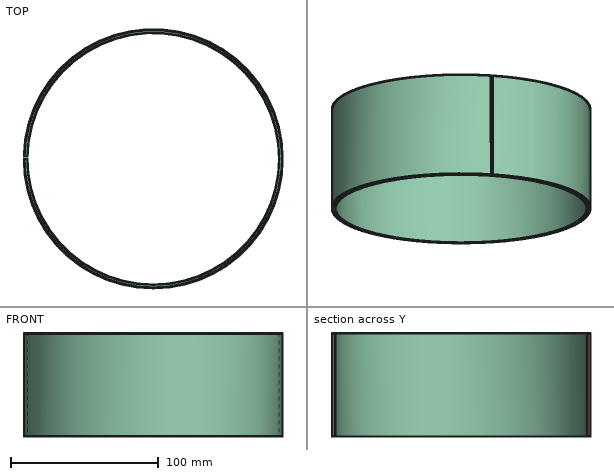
import cadquery as cq

outer_diameter = 175.0
wall_thickness = 2.5
height = 70.0
outer_chamfer = 0.5
inner_chamfer = 0.2
slit_width = 1.5

outer_radius = outer_diameter / 2
inner_radius = outer_radius - wall_thickness


def chamfered_cylinder(radius, chamfer):
    """Solid cylinder on Z = 0 with both rims chamfered inward."""
    cylinder = cq.Workplane("XY").circle(radius).extrude(height)
    return cylinder.faces("<Z or >Z").edges().chamfer(chamfer)


def flared_bore(radius, chamfer):
    """Cutter for the bore: a through cylinder that widens by the chamfer at both ends."""
    profile = (
        cq.Workplane("XZ")
        .moveTo(0, 0)
        .lineTo(radius + chamfer, 0)
        .lineTo(radius, chamfer)
        .lineTo(radius, height - chamfer)
        .lineTo(radius + chamfer, height)
        .lineTo(0, height)
        .close()
    )
    return profile.revolve(axisStart=(0, 0, 0), axisEnd=(0, 1, 0))


def slit_cutter():
    """Full-height block through the -X wall, with one side on the plane Y = 0."""
    block = cq.Workplane("XY").box(outer_radius, slit_width, height, centered=False)
    return block.translate((-outer_radius, 0, 0))


ring = chamfered_cylinder(outer_radius, outer_chamfer).cut(flared_bore(inner_radius, inner_chamfer))
result = ring.cut(slit_cutter())